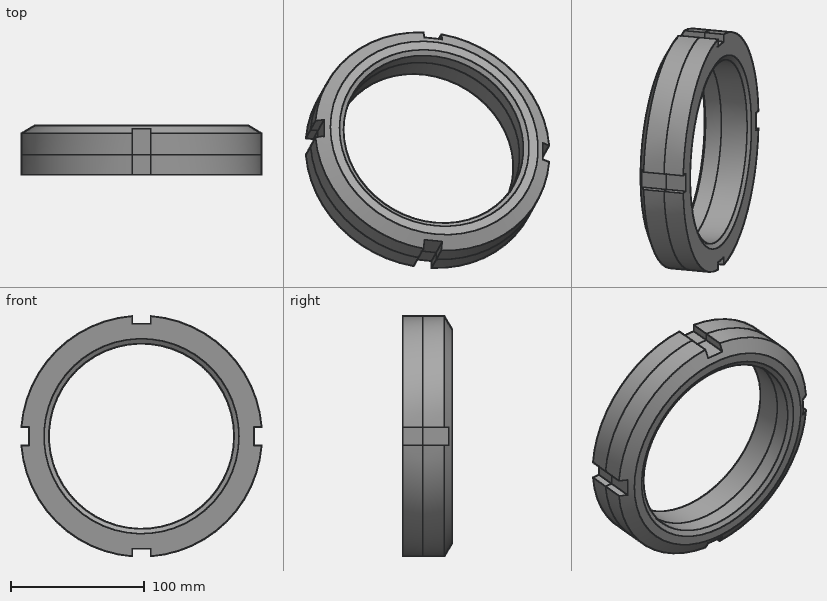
import cadquery as cq
import math

OVERALL_SPAN = 179.5
TOTAL_WIDTH = 37.0
FRONT_RIM_WIDTH = 15.0
FRONT_BORE_WIDTH = 22.5
SPIGOT_WALL = 7.2
BORE_DIAMETER = 138.0
BORE_CHAMFER_HEIGHT = 3.8
CHAMFER_ANGLE = 30.0
BEVEL_WIDTH = 6.0
SLOT_COUNT = 4
SLOT_WIDTH = 13.6
SLOT_FLOOR_SPAN = 168.0

outer_radius = math.hypot(OVERALL_SPAN / 2, SLOT_WIDTH / 2)
bore_radius = BORE_DIAMETER / 2
bore_mouth_radius = bore_radius + BORE_CHAMFER_HEIGHT
spigot_radius = bore_radius + SPIGOT_WALL
chamfer_slope = math.tan(math.radians(CHAMFER_ANGLE))
bore_chamfer_width = BORE_CHAMFER_HEIGHT * chamfer_slope
bevel_height = BEVEL_WIDTH / chamfer_slope
slot_floor_radius = SLOT_FLOOR_SPAN / 2
slot_block_height = OVERALL_SPAN / 2
front_y = -TOTAL_WIDTH / 2
back_y = TOTAL_WIDTH / 2
rim_joint_y = front_y + FRONT_RIM_WIDTH
bore_joint_y = front_y + FRONT_BORE_WIDTH


def revolve_about_y(profile_points):
    """Turn a closed (radius, y) profile about the ring axis."""
    profile = cq.Workplane("XY").polyline(profile_points).close()
    return profile.revolve(360, (0, 0, 0), (0, 1, 0))


def cut_spanner_slots(ring):
    """Cut the evenly spaced rim slots straight through the ring's width."""
    slot = cq.Workplane("XY").box(
        SLOT_WIDTH, TOTAL_WIDTH, slot_block_height, centered=(True, True, False)
    ).translate((0, 0, slot_floor_radius))
    for index in range(SLOT_COUNT):
        angle = index * 360 / SLOT_COUNT
        ring = ring.cut(slot.rotate((0, 0, 0), (0, 1, 0), angle))
    return ring


def make_front_ring():
    """Slotted ring with a chamfered bore mouth and a spigot toward the back."""
    ring = revolve_about_y([
        (bore_mouth_radius, front_y),
        (outer_radius, front_y),
        (outer_radius, rim_joint_y),
        (spigot_radius, rim_joint_y),
        (spigot_radius, bore_joint_y),
        (bore_radius, bore_joint_y),
        (bore_radius, front_y + bore_chamfer_width),
    ])
    return cut_spanner_slots(ring)


def make_back_ring():
    """Slotted, bevelled ring with a recess that takes the front ring's spigot."""
    ring = revolve_about_y([
        (bore_radius, bore_joint_y),
        (spigot_radius, bore_joint_y),
        (spigot_radius, rim_joint_y),
        (outer_radius, rim_joint_y),
        (outer_radius, back_y - BEVEL_WIDTH),
        (outer_radius - bevel_height, back_y),
        (bore_mouth_radius, back_y),
        (bore_radius, back_y - bore_chamfer_width),
    ])
    return cut_spanner_slots(ring)


front_ring = make_front_ring()
back_ring = make_back_ring()

result = cq.Compound.makeCompound([front_ring.val(), back_ring.val()])